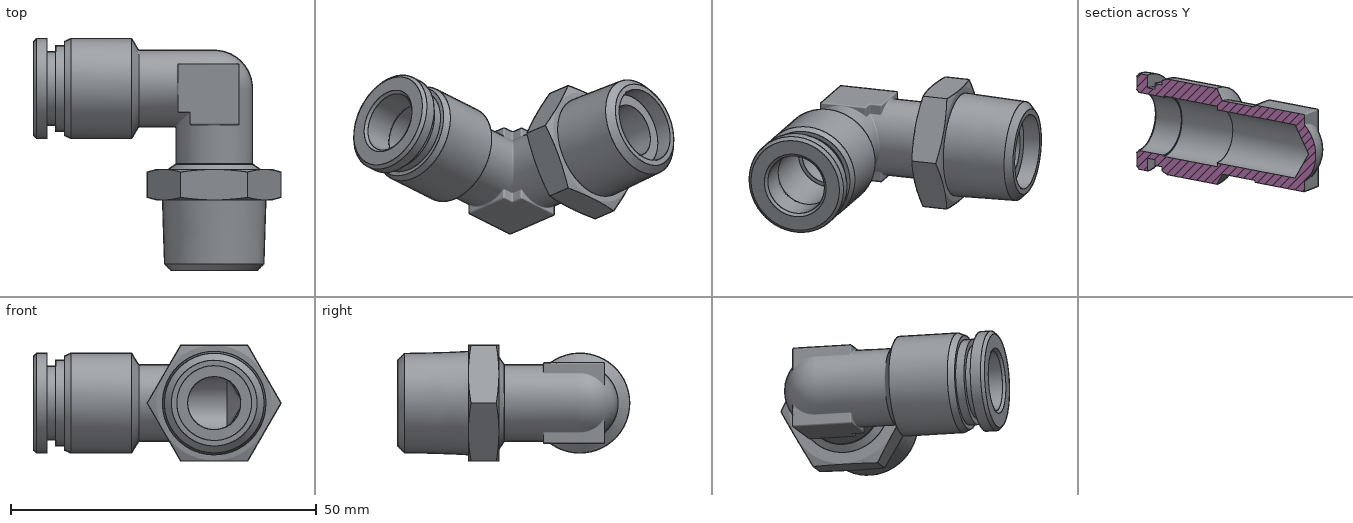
import cadquery as cq
import math

overall_length = 40.55
arm_radius = 6.3

hex_across_flats = 19.0
hex_flat_radius = hex_across_flats / 2
hex_corner_radius = hex_flat_radius / math.cos(math.radians(30))

body_radius = 8.2
tube_arm_length = overall_length - hex_corner_radius
collar_length = 2.27
collar_chamfer = 0.53
neck_radius = 6.05
neck_length = 1.38
shoulder_radius = 7.0
shoulder_length = 1.4
body_front_chamfer_length = 1.1
body_front_chamfer_depth = 0.5
body_cone_start = 13.5
body_cone_end = 12.37

hex_start = 13.23
hex_length = 5.05
hex_end = hex_start + hex_length
hex_chamfer_drop = 0.45
hex_face_radius = 9.4
hex_cone_start = body_cone_end
hex_cone_radius = 7.55

thread_end = 29.8
thread_root_radius = 8.48
thread_tip_radius = 8.15
thread_chamfer_length = 1.15
thread_face_radius = 7.0

tube_mouth_radius = 5.35
sleeve_bore_radius = 4.9
sleeve_depth = 5.5
tube_seat_radius = 5.1
tube_stop = body_cone_start
tube_bore_radius = 4.5
tube_bore_overrun = 2.05
drill_point_angle = 118.0
thread_counterbore_radius = 6.13
thread_counterbore_depth = 2.75
thread_bore_radius = 4.35

pad_size = 10.02
pad_outer_edge = 4.05
pad_far_edge = pad_outer_edge - pad_size
pad_notch = 2.03
pad_half_height = 6.6
pad_edge_radius = 0.25

blend_radius = 0.15


def revolve_tube_arm(points):
    """Revolve (x, radius) points about the X axis."""
    outline = cq.Workplane("XY").polyline(points).close()
    return outline.revolve(360, (0, 0, 0), (1, 0, 0))


def revolve_thread_arm(points):
    """Revolve (distance, radius) points about the Y axis, distance running along -Y."""
    outline = cq.Workplane("XY").polyline([(r, -d) for d, r in points]).close()
    return outline.revolve(360, (0, 0, 0), (0, 1, 0))


def blend_edge_near(solid, point):
    """Round the circular edge centred on the given point."""
    return solid.edges("%CIRCLE").edges(cq.NearestToPointSelector(point)).fillet(blend_radius)


def make_tube_arm():
    mouth = -tube_arm_length
    neck_start = mouth + collar_length
    shoulder_start = neck_start + neck_length
    body_start = shoulder_start + shoulder_length
    arm = revolve_tube_arm([
        (mouth, 0),
        (mouth, body_radius - collar_chamfer),
        (mouth + collar_chamfer, body_radius),
        (neck_start, body_radius),
        (neck_start, neck_radius),
        (shoulder_start, neck_radius),
        (shoulder_start, shoulder_radius),
        (body_start, shoulder_radius),
        (body_start, body_radius - body_front_chamfer_depth),
        (body_start + body_front_chamfer_length, body_radius),
        (-body_cone_start, body_radius),
        (-body_cone_end, arm_radius),
        (0, arm_radius),
        (0, 0),
    ])
    return blend_edge_near(arm, (-body_cone_end, 0, 0))


def make_thread_arm():
    arm = revolve_thread_arm([
        (0, 0),
        (0, arm_radius),
        (hex_cone_start, arm_radius),
        (hex_start, hex_cone_radius),
        (hex_end, hex_cone_radius),
        (hex_end, thread_root_radius),
        (thread_end - thread_chamfer_length, thread_tip_radius),
        (thread_end, thread_face_radius),
        (thread_end, 0),
    ])
    return blend_edge_near(arm, (0, -hex_cone_start, 0))


def make_hexagon():
    prism = (
        cq.Workplane("XZ", origin=(0, -hex_start, 0))
        .polygon(6, 2 * hex_corner_radius)
        .extrude(hex_length)
    )
    corner_cones = revolve_thread_arm([
        (hex_start, 0),
        (hex_start, hex_face_radius),
        (hex_start + hex_chamfer_drop, hex_corner_radius),
        (hex_end - hex_chamfer_drop, hex_corner_radius),
        (hex_end, hex_face_radius),
        (hex_end, 0),
    ])
    return prism.intersect(corner_cones)


def make_pads():
    """One block through the elbow, standing proud as a notched pad above and below."""
    notch_edge = pad_far_edge + pad_notch
    return (
        cq.Workplane("XY", origin=(0, 0, -pad_half_height))
        .polyline([
            (pad_far_edge, pad_outer_edge),
            (pad_outer_edge, pad_outer_edge),
            (pad_outer_edge, pad_far_edge),
            (notch_edge, pad_far_edge),
            (notch_edge, notch_edge),
            (pad_far_edge, notch_edge),
        ])
        .close()
        .extrude(2 * pad_half_height)
        .edges("|Z")
        .fillet(pad_edge_radius)
        .faces("|Z")
        .edges()
        .fillet(pad_edge_radius)
    )


def make_tube_bore():
    """Chamfered sleeve, wider tube seat and a drilled bore ending past the elbow centre."""
    mouth = -tube_arm_length
    sleeve_end = mouth + sleeve_depth
    mouth_chamfer = tube_mouth_radius - sleeve_bore_radius
    point_length = tube_bore_radius / math.tan(math.radians(drill_point_angle / 2))
    return revolve_tube_arm([
        (mouth, 0),
        (mouth, tube_mouth_radius),
        (mouth + mouth_chamfer, sleeve_bore_radius),
        (sleeve_end, sleeve_bore_radius),
        (sleeve_end, tube_seat_radius),
        (-tube_stop, tube_seat_radius),
        (-tube_stop, tube_bore_radius),
        (tube_bore_overrun, tube_bore_radius),
        (tube_bore_overrun + point_length, 0),
    ])


def make_thread_bore():
    """Counterbored hole that stops flat at the tube arm's axis."""
    counterbore_end = thread_end - thread_counterbore_depth
    return revolve_thread_arm([
        (0, 0),
        (0, thread_bore_radius),
        (counterbore_end, thread_bore_radius),
        (counterbore_end, thread_counterbore_radius),
        (thread_end, thread_counterbore_radius),
        (thread_end, 0),
    ])


def make_elbow():
    """Join the arms with a ball corner, add the pads and round the inside corners."""
    ball = cq.Workplane("XY").sphere(arm_radius)
    arms = ball.union(make_tube_arm()).union(make_thread_arm())
    arms = arms.edges("%ELLIPSE").fillet(blend_radius)

    margin = 0.05
    low_side = pad_far_edge - margin
    high_side = pad_outer_edge + margin
    reach = pad_half_height - pad_edge_radius - margin
    pad_block = cq.selectors.BoxSelector(
        (low_side, low_side, -reach), (high_side, high_side, reach), boundingbox=True
    )
    return arms.union(make_pads()).edges(pad_block).fillet(blend_radius)


outside = make_elbow().union(make_hexagon())
result = outside.cut(make_tube_bore()).cut(make_thread_bore())